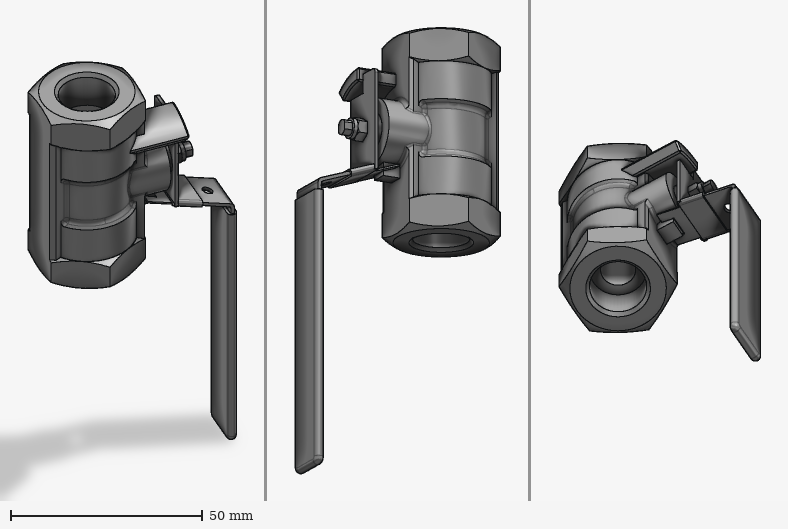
import cadquery as cq
import math


overall_length = 122.5
overall_depth = 53.7

body_length = 55.0
across_flats = 26.8
flange_height = 9.3
flange_face_dia = 25.2
flange_chamfer_angle = 30
barrel_dia = 26.7
waist_dia = 24.0
shoulder_z = 7.8
waist_fillet = 2.2
slab_width = 15.8
slab_front_chamfer = 1.2
slab_back_chamfer_x = 0.4
slab_back_chamfer_y = 1.1
slab_waist_fillet = 1.8
port_dia = 15.0
port_mouth_dia = 16.9
port_depth = 10.2
bore_dia = 9.2

bonnet_dia = 18.0
bonnet_end_y = 20.1
bonnet_fillet = 1.1
stop_outer_radius = 17.2
stop_inner_radius = 13.4
stop_sweep = 41
stop_end_y = 24.6
stop_edge_chamfer = 0.5
lock_lug_width = 4.9
lock_lug_end_y = 18.4
lock_lug_bottom_z = -12.4

sheet = 1.0
plate_y = 22.7
plate_width = 13.7
plate_shoulder_z = 10.0
finger_top_z = 15.3
finger_corner_radius = 1.2
arm_width = 12.0
arm_slope = 19.5
arm_start_z = -11.6
arm_bend_radius = 1.5
lever_hole_dia = 3.0
lever_hole_y = 34.2

grip_width = 13.0
grip_thickness = 2.6
grip_back_y = overall_depth - across_flats / 2
grip_corner_radius = 2.0
grip_top_z = -20.1
grip_bottom_z = body_length / 2 - overall_length

gland_dia = 10.0
stud_dia = 4.0
stud_flats = 3.5
stud_end_y = 29.4
nut_flats = 5.5
nut_end_y = 26.0
nut_chamfer_height = 0.4
collar_end_y = 27.1

slide_thickness = 2.0
slide_width = 13.5
slide_length = 8.3
fork_width = 10.5
fork_thickness = 0.5
fork_tip_y = 15.3
fork_clearance = 0.2

pick_margin = 0.01

half_length = body_length / 2
half_flats = across_flats / 2
corner_dia = across_flats / math.cos(math.radians(30))
grip_y = grip_back_y - grip_thickness / 2
plate_back_y = plate_y - sheet / 2
plate_front_y = plate_y + sheet / 2
slope_tan = math.tan(math.radians(arm_slope))
slope_cos = math.cos(math.radians(arm_slope))


def rod_y(diameter, y_start, y_end):
    """Round rod along Y on the stem axis."""
    rod = cq.Workplane("XZ", origin=(0, y_start, 0)).circle(diameter / 2)
    return rod.extrude(-(y_end - y_start))


def block(x_range, y_range, z_range):
    """Rectangular block between the given limits."""
    spans = [high - low for low, high in (x_range, y_range, z_range)]
    centre = [(high + low) / 2 for low, high in (x_range, y_range, z_range)]
    return cq.Workplane("XY").box(*spans).translate(tuple(centre))


def arm_z(y):
    """Height of the sloping arm's mid-plane at a given Y."""
    return arm_start_z - (y - plate_y) * slope_tan


def make_flange():
    """Upper hexagon flange, its corners turned off on both faces."""
    bottom_z = half_length - flange_height
    taper = math.tan(math.radians(flange_chamfer_angle))
    face_radius = flange_face_dia / 2
    corner_radius = corner_dia / 2
    hexagon = cq.Workplane("XY", origin=(0, 0, bottom_z)).polygon(6, corner_dia).extrude(flange_height)
    envelope = (
        cq.Workplane("XZ")
        .moveTo(0, bottom_z)
        .lineTo(half_flats, bottom_z)
        .lineTo(corner_radius, bottom_z + (corner_radius - half_flats) * taper)
        .lineTo(corner_radius, half_length - (corner_radius - face_radius) * taper)
        .lineTo(face_radius, half_length)
        .lineTo(0, half_length)
        .close()
        .revolve(360, (0, 0, 0), (0, 1, 0))
    )
    return hexagon.intersect(envelope)


def ring_at(z):
    """Selector for the full circle centred on the flow axis at height z."""
    low = (-pick_margin, -pick_margin, z - pick_margin)
    high = (pick_margin, pick_margin, z + pick_margin)
    return cq.selectors.BoxSelector(low, high)


def make_barrel():
    """Round barrel with a conical step down to a filleted waist."""
    barrel_radius = barrel_dia / 2
    waist_radius = waist_dia / 2
    foot_z = shoulder_z - (barrel_radius - waist_radius)
    end_z = half_length - flange_height / 2
    barrel = (
        cq.Workplane("XZ")
        .polyline([
            (0, -end_z),
            (barrel_radius, -end_z),
            (barrel_radius, -shoulder_z),
            (waist_radius, -foot_z),
            (waist_radius, foot_z),
            (barrel_radius, shoulder_z),
            (barrel_radius, end_z),
            (0, end_z),
        ])
        .close()
        .revolve(360, (0, 0, 0), (0, 1, 0))
    )
    for side in (-1, 1):
        barrel = barrel.edges(ring_at(side * foot_z)).fillet(waist_fillet)
    return barrel


def make_stop_lug():
    """Ring sector above the bonnet that stops the lever finger."""
    sweep = math.radians(stop_sweep)

    def on_arc(radius, angle):
        return radius * math.sin(angle), radius * math.cos(angle)

    sector = (
        cq.Workplane("XZ")
        .moveTo(*on_arc(stop_inner_radius, 0))
        .lineTo(*on_arc(stop_outer_radius, 0))
        .threePointArc(on_arc(stop_outer_radius, sweep / 2), on_arc(stop_outer_radius, sweep))
        .lineTo(*on_arc(stop_inner_radius, sweep))
        .threePointArc(on_arc(stop_inner_radius, sweep / 2), on_arc(stop_inner_radius, 0))
        .close()
        .extrude(-stop_end_y)
    )
    return sector.edges("|Y or >Y").chamfer(stop_edge_chamfer)


def on_bonnet_wall(edge):
    """True for an edge that lies on the cylindrical wall of the bonnet."""
    middle = edge.positionAt(0.5)
    radius = math.hypot(middle.x, middle.z)
    return abs(radius - bonnet_dia / 2) < pick_margin


def make_housing():
    flange = make_flange()
    slab_end = half_length - flange_height / 2
    slab = block((-slab_width / 2, slab_width / 2), (-half_flats, half_flats), (-slab_end, slab_end))
    slab = slab.edges("|Z and <Y").chamfer(slab_front_chamfer)
    slab = slab.faces(">Y").edges("|Z").chamfer(slab_back_chamfer_y, slab_back_chamfer_x)
    housing = make_barrel().union(slab)
    for sx in (-1, 1):
        for sy in (-1, 1):
            x = sx * slab_width / 2
            y = sy * math.sqrt((waist_dia / 2) ** 2 - x**2)
            housing = housing.edges(cq.selectors.NearestToPointSelector((x, y, 0))).fillet(slab_waist_fillet)
    housing = housing.union(rod_y(bonnet_dia, 0, bonnet_end_y))
    foot_edges = housing.edges("not >Y").filter(on_bonnet_wall)
    housing = foot_edges.fillet(bonnet_fillet)
    housing = housing.union(flange).union(flange.mirror("XY")).union(make_stop_lug())
    lock_lug = block((-lock_lug_width / 2, lock_lug_width / 2), (0, lock_lug_end_y), (lock_lug_bottom_z, 0))
    housing = housing.union(lock_lug)
    housing = housing.cut(cq.Workplane("XY").circle(bore_dia / 2).extrude(half_length, both=True))
    mouth = (port_mouth_dia - port_dia) / 2
    port = (
        cq.Workplane("XY", origin=(0, 0, half_length - port_depth)).circle(port_dia / 2).extrude(port_depth)
        .faces(">Z").workplane().circle(port_mouth_dia / 2)
        .workplane(offset=-mouth).circle(port_dia / 2).loft()
    )
    return housing.cut(port).cut(port.mirror("XY"))


def make_stem():
    """Stem with its gland, double-flat stud and collared nut."""
    stud = rod_y(stud_dia, bonnet_end_y, stud_end_y)
    stud = stud.intersect(block((-stud_flats / 2, stud_flats / 2), (0, stud_end_y), (-stud_dia, stud_dia)))
    nut_corner_dia = nut_flats / math.cos(math.radians(30))
    nut = (
        cq.Workplane("XZ", origin=(0, plate_front_y, 0))
        .transformed(rotate=(0, 0, 30))
        .polygon(6, nut_corner_dia)
        .extrude(plate_front_y - nut_end_y)
    )
    turned = rod_y(nut_corner_dia, plate_front_y, nut_end_y).faces(">Y").edges().chamfer(
        nut_chamfer_height, (nut_corner_dia - nut_flats) / 2
    )
    stem = stud.union(rod_y(gland_dia, bonnet_end_y, plate_back_y))
    return stem.union(nut.intersect(turned)).union(rod_y(nut_flats, nut_end_y, collar_end_y))


def make_grip():
    """Flat grip with a fully rounded rim along both sides, the lower end and its two corners."""
    round_radius = grip_thickness / 2
    corner_x = grip_width / 2 - grip_corner_radius
    corner_z = grip_bottom_z + grip_corner_radius
    upright = (
        cq.Workplane("XY", origin=(0, grip_y, corner_z))
        .slot2D(grip_width, grip_thickness)
        .extrude(grip_top_z - corner_z)
    )
    lower_bar = (
        cq.Workplane("YZ", origin=(-corner_x, grip_y, corner_z))
        .slot2D(2 * grip_corner_radius, grip_thickness, 90)
        .extrude(2 * corner_x)
    )
    flat = grip_corner_radius - round_radius
    corner = (
        cq.Workplane("XY")
        .moveTo(0, -round_radius)
        .lineTo(flat, -round_radius)
        .threePointArc((grip_corner_radius, 0), (flat, round_radius))
        .lineTo(0, round_radius)
        .close()
        .revolve(360, (0, 0, 0), (0, 1, 0))
    )
    grip = upright.union(lower_bar)
    for x in (-corner_x, corner_x):
        grip = grip.union(corner.translate((x, grip_y, corner_z)))
    return grip


def make_arm():
    """Sloping arm and its bend down into the grip."""
    half = sheet / 2
    rise = half / slope_cos
    arm = (
        cq.Workplane("YZ", origin=(-arm_width / 2, 0, 0))
        .polyline([
            (plate_back_y, arm_z(plate_back_y) - rise),
            (plate_back_y, arm_z(plate_back_y) + rise),
            (grip_y + half, arm_z(grip_y + half) + rise),
            (grip_y + half, grip_top_z),
            (grip_y - half, grip_top_z),
            (grip_y - half, arm_z(grip_y - half) - rise),
        ])
        .close()
        .extrude(arm_width)
    )
    outer_bend = (0, grip_y + half, arm_z(grip_y + half) + rise)
    inner_bend = (0, grip_y - half, arm_z(grip_y - half) - rise)
    arm = arm.edges(cq.selectors.NearestToPointSelector(outer_bend)).fillet(arm_bend_radius)
    arm = arm.edges(cq.selectors.NearestToPointSelector(inner_bend)).fillet(arm_bend_radius - half)
    hole = (
        cq.Workplane("XY", origin=(0, lever_hole_y, arm_z(lever_hole_y)))
        .transformed(rotate=(-arm_slope, 0, 0))
        .circle(lever_hole_dia / 2)
        .extrude(sheet, both=True)
    )
    return arm.cut(hole)


def make_lever(stem):
    """Upright plate with a stop finger, sloping arm and grip."""
    half_width = plate_width / 2
    thickness = (plate_back_y, plate_front_y)
    plate_bottom_z = arm_z(plate_front_y) - sheet / 2 / slope_cos
    plate = block((-half_width, half_width), thickness, (plate_bottom_z, plate_shoulder_z))
    finger = block((-half_width, 0), thickness, (0, finger_top_z))
    finger = finger.edges("|Y and >Z and <X").fillet(finger_corner_radius)
    return plate.union(finger).union(make_arm()).union(make_grip()).cut(stem)


def make_lock_slide(lever):
    """Band round the arm with a fork that straddles the lock lug."""
    tip_length = (plate_back_y - fork_tip_y) / slope_cos
    band = cq.Workplane("XZ").slot2D(slide_width, slide_thickness).extrude(-slide_length)
    fork = block(
        (-fork_width / 2, fork_width / 2),
        (-tip_length, slide_length),
        (-slide_thickness / 2, fork_thickness - slide_thickness / 2),
    )
    slide = band.union(fork)
    slide = slide.rotate((0, 0, 0), (1, 0, 0), -arm_slope)
    slide = slide.translate((0, plate_back_y, arm_z(plate_back_y)))
    slot_half = lock_lug_width / 2 + fork_clearance
    slot = block((-slot_half, slot_half), (0, lock_lug_end_y + fork_clearance), (-half_length, 0))
    return slide.cut(slot).cut(lever)


housing = make_housing()
stem = make_stem()
lever = make_lever(stem)
lock_slide = make_lock_slide(lever)

result = cq.Compound.makeCompound([housing.val(), stem.val(), lever.val(), lock_slide.val()])